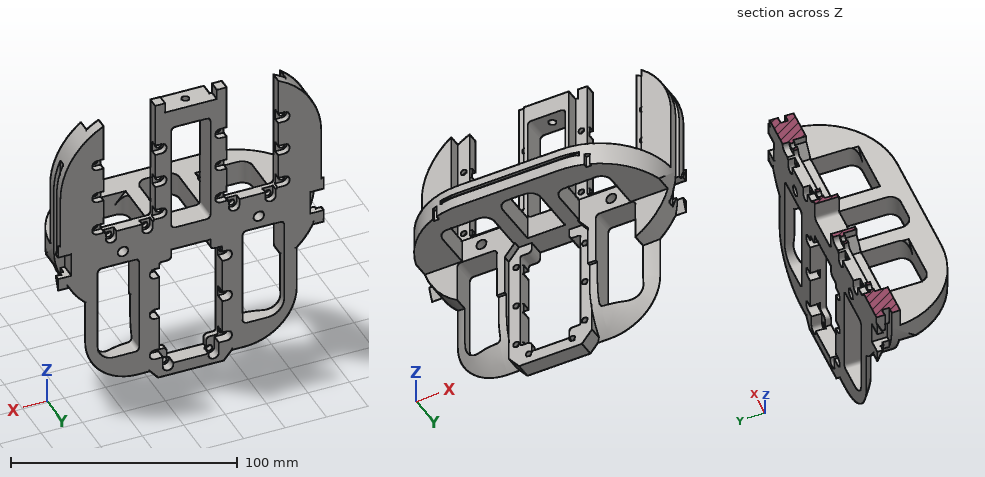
import cadquery as cq
import math


HALF_WIDTH = 63.0
PLATE_DEPTH = 11.5
SHELF_REACH = 45.97
SHELF_THICK = 11.65
CORNER_R = 37.2
PLATE_TOP = 69.0
PLATE_BOTTOM = -38.1
OVERALL_HEIGHT = 148.49
UPPER_ARC_Z = 31.8

U_CENTRE = 29.7
U_OPEN_HALF = 12.45
U_OPEN_BOTTOM = 6.3
U_PAD_HALF = 18.35
U_PAD_DEPTH = 5.4
PAD_CHAMFER_X = 5.1
PAD_CHAMFER_Z = 6.2
SMALL_R = 2.0

POST_TOP = 64.0
TAB_INNER = 12.5
WINDOW_HALF = 9.45
WINDOW_TOP = 54.7
POST_HOLE_D = 3.5
POST_HOLE_Y = -6.0

SCREW_D = 2.83
BORE_WIDTH = 5.0
BORE_LENGTH = 6.5
U_BORE_DEPTH = 3.2
FRAME_BORE_DEPTH = 4.9
U_SIDE_HOLE = 15.45
U_SIDE_HOLE_Z = 9.7
U_SIDE_PITCH = 17.5
U_BASE_HOLE = 8.75
U_BASE_HOLE_Z = 3.2

FRAME_HALF = 21.0
FRAME_DEPTH = 7.8
FRAME_BOTTOM = PLATE_TOP - OVERALL_HEIGHT
FRAME_OPEN_HALF = 15.2
FRAME_NECK_HALF = WINDOW_HALF
FRAME_OPEN_TOP = -17.0
FRAME_OPEN_BOTTOM = -68.1
FRAME_NECK_BOTTOM = -73.5
FRAME_HOLE = 17.35
FRAME_HOLE_Z = -22.5
FRAME_PITCH = 22.0
FRAME_BASE_HOLE = 11.0
FRAME_BASE_HOLE_Z = -74.4

LOOP_DEPTH = 10.0
LOOP_BOTTOM = -74.9
LOOP_OPEN_INNER = 25.0
LOOP_OPEN_OUTER = 45.0
LOOP_OPEN_TOP = -12.0
LOOP_OPEN_BOTTOM = -62.1
LOOP_OPEN_R = 8.0

SIDE_SLOT_X = 29.55
SIDE_SLOT_HALF = 13.0
SIDE_SLOT_END = -33.9
SIDE_SLOT_R = 5.0
RELIEF_INSET = 0.5
MID_SLOT_END = -38.9
MID_SLOT_R = 5.0
BEAM_HOLE_D = 5.0
BEAM_HOLE_X = 32.8

FRONT_GROOVE_HALF = 35.0
FRONT_GROOVE_TOP = -4.1
FRONT_GROOVE_BOTTOM = -5.8
FRONT_GROOVE_DEPTH = 1.5
FRONT_NOTCH_X = 38.45
FRONT_NOTCH_WIDTH = 2.4
FRONT_NOTCH_FLOOR = -42.0
SIDE_GROOVE_FLOOR_X = 59.8
SIDE_GAP_FLOOR_X = 57.7
SIDE_GROOVE_BACK = -4.1
SIDE_GROOVE_FRONT = -7.3
LUG_SPAN = 128.32
LUG_X = LUG_SPAN / 2
LUG_DEPTH = 2.7
LUG_ROOT = 9.0
LUG_HEIGHT = 6.3

TOP_CLEARANCE = 20.0


def box(x0, x1, y0, y1, z0, z1):
    """Box given by its limits along each axis."""
    return cq.Workplane("XY").box(x1 - x0, y1 - y0, z1 - z0, centered=False).translate((x0, y0, z0))


def both_sides(shape):
    """The shape together with its mirror image across X = 0."""
    return shape.union(shape.mirror("YZ"))


def prism_y(points, y0, y1):
    """Polygon of (x, z) points extruded from y0 to y1."""
    return cq.Workplane("XZ", origin=(0, y1, 0)).polyline(points).close().extrude(y1 - y0)


def rod_y(diameter, x, z, y0, y1):
    """Cylinder along Y from y0 to y1."""
    return cq.Workplane("XZ", origin=(x, y1, z)).circle(diameter / 2).extrude(y1 - y0)


def octagon_points(half, bottom, top):
    """Rectangle about X = 0 with all four corners cut off."""
    inner = half - PAD_CHAMFER_X
    low = bottom + PAD_CHAMFER_Z
    high = top - PAD_CHAMFER_Z
    return [(-inner, bottom), (inner, bottom), (half, low), (half, high),
            (inner, top), (-inner, top), (-half, high), (-half, low)]


def rounded_plate_and_shelf():
    """Plate and shelf, trimmed to the rounded outlines seen along Y and along Z."""
    plate = box(-HALF_WIDTH, HALF_WIDTH, -PLATE_DEPTH, 0, PLATE_BOTTOM, PLATE_TOP)
    shelf = box(-HALF_WIDTH, HALF_WIDTH, -SHELF_REACH, 0, -SHELF_THICK, 0)
    upright = box(-HALF_WIDTH, HALF_WIDTH, -SHELF_REACH, 0, PLATE_BOTTOM, UPPER_ARC_Z + CORNER_R)
    upright = upright.edges("|Y").fillet(CORNER_R)
    level = box(-HALF_WIDTH, HALF_WIDTH, -SHELF_REACH, 0, PLATE_BOTTOM, PLATE_TOP)
    level = level.edges("|Z and <Y").fillet(CORNER_R)
    return plate.union(shelf).intersect(upright).intersect(level)


def loops():
    """Shallow rounded shell that carries the two loops beside the lower frame."""
    arc_x = HALF_WIDTH - CORNER_R
    reach = math.sqrt(CORNER_R**2 - (CORNER_R - LOOP_DEPTH) ** 2)
    arc_y = CORNER_R - LOOP_DEPTH
    arc_z = LOOP_BOTTOM + reach
    ball = cq.Workplane("XY").sphere(CORNER_R).translate((arc_x, arc_y, arc_z))
    side = cq.Workplane("XY").circle(CORNER_R).extrude(-arc_z).translate((arc_x, arc_y, arc_z))
    base = cq.Workplane("YZ").circle(CORNER_R).extrude(arc_x).translate((0, arc_y, arc_z))
    middle = box(0, arc_x, -LOOP_DEPTH, 0, arc_z, -SHELF_THICK)
    shell = ball.union(side).union(base).union(middle)
    shell = shell.intersect(box(0, HALF_WIDTH, -LOOP_DEPTH, 0, LOOP_BOTTOM, -SHELF_THICK))
    return both_sides(shell)


def loop_openings():
    opening = box(LOOP_OPEN_INNER, LOOP_OPEN_OUTER, -PLATE_DEPTH, 0, LOOP_OPEN_BOTTOM, LOOP_OPEN_TOP)
    opening = opening.edges("|Y and >X and <Z").fillet(LOOP_OPEN_R)
    opening = opening.edges("|Y and (<X or >Z)").fillet(SMALL_R)
    return both_sides(opening)


def u_frame_cuts():
    """Front recess and open-topped slot of the two U-shaped frames."""
    top = PLATE_TOP + TOP_CLEARANCE
    recess = prism_y(octagon_points(U_PAD_HALF, 0, top), -PLATE_DEPTH, -U_PAD_DEPTH)
    slot = box(-U_OPEN_HALF, U_OPEN_HALF, -PLATE_DEPTH, 0, U_OPEN_BOTTOM, top)
    slot = slot.edges("|Y and <Z").fillet(SMALL_R)
    return both_sides(recess.union(slot).translate((U_CENTRE, 0, 0)))


def post_cuts():
    """Gap between the tabs, window and vertical hole of the middle post."""
    gap = box(-TAB_INNER, TAB_INNER, -PLATE_DEPTH, 0, POST_TOP, PLATE_TOP)
    window = box(-WINDOW_HALF, WINDOW_HALF, -PLATE_DEPTH, 0, 0, WINDOW_TOP)
    window = window.edges("|Y").fillet(SMALL_R)
    hole = cq.Workplane("XY", origin=(0, POST_HOLE_Y, WINDOW_TOP - SMALL_R)).circle(POST_HOLE_D / 2)
    return gap.union(window).union(hole.extrude(POST_TOP - WINDOW_TOP + SMALL_R))


def lower_frame_prism(y0, y1):
    return prism_y(octagon_points(FRAME_HALF, FRAME_BOTTOM, -SHELF_THICK), y0, y1)


def lower_frame_opening():
    wide = box(-FRAME_OPEN_HALF, FRAME_OPEN_HALF, -PLATE_DEPTH, 0, FRAME_OPEN_BOTTOM, FRAME_OPEN_TOP)
    neck = box(-FRAME_NECK_HALF, FRAME_NECK_HALF, -PLATE_DEPTH, 0, FRAME_NECK_BOTTOM, -SHELF_THICK)
    inner_corners = cq.selectors.BoxSelector(
        (-FRAME_OPEN_HALF + SMALL_R, -PLATE_DEPTH, FRAME_OPEN_BOTTOM - SMALL_R),
        (FRAME_OPEN_HALF - SMALL_R, 0, FRAME_OPEN_TOP + SMALL_R))
    wide = wide.edges("|Y").fillet(SMALL_R / 2)
    return wide.union(neck).edges("|Y").edges(inner_corners).fillet(SMALL_R)


def screw_hole(x, z, direction_x, direction_z, bore_depth):
    """Through hole with a round-ended slot in the back that runs from it into the frame opening."""
    half = BORE_WIDTH / 2
    slot = box(0, BORE_LENGTH, -bore_depth, 0, -half, half)
    slot = slot.union(rod_y(BORE_WIDTH, 0, 0, -bore_depth, 0))
    turn = -math.degrees(math.atan2(direction_z, direction_x))
    slot = slot.rotate((0, 0, 0), (0, 1, 0), turn).translate((x, 0, z))
    return slot.union(rod_y(SCREW_D, x, z, -PLATE_DEPTH, 0))


def screw_holes():
    cuts = cq.Workplane("XY")
    for row in range(3):
        u_z = U_SIDE_HOLE_Z + row * U_SIDE_PITCH
        frame_z = FRAME_HOLE_Z - row * FRAME_PITCH
        for side in (-1, 1):
            cuts = cuts.union(screw_hole(U_CENTRE + side * U_SIDE_HOLE, u_z, -side, 0, U_BORE_DEPTH))
        cuts = cuts.union(screw_hole(FRAME_HOLE, frame_z, -1, 0, FRAME_BORE_DEPTH))
    for side in (-1, 1):
        cuts = cuts.union(screw_hole(U_CENTRE + side * U_BASE_HOLE, U_BASE_HOLE_Z, 0, 1, U_BORE_DEPTH))
    cuts = cuts.union(screw_hole(FRAME_BASE_HOLE, FRAME_BASE_HOLE_Z, 0, 1, FRAME_BORE_DEPTH))
    return both_sides(cuts)


def corner_relief(corner_x, inward):
    """Sloping cut that squares a front corner of a side slot at the top, falling towards the slot."""
    foot = corner_x + inward * PAD_CHAMFER_X
    points = [(corner_x, 0), (foot, 0), (foot, -PAD_CHAMFER_Z)]
    return prism_y(points, SIDE_SLOT_END, SIDE_SLOT_END + SIDE_SLOT_R)


def corner_reliefs():
    """Reliefs at three of the four corners; the outer corner at -X stays round."""
    inner_edge = SIDE_SLOT_X - SIDE_SLOT_HALF
    outer_edge = SIDE_SLOT_X + SIDE_SLOT_HALF
    cuts = corner_relief(-inner_edge - RELIEF_INSET, -1)
    cuts = cuts.union(corner_relief(inner_edge, 1))
    return cuts.union(corner_relief(outer_edge - RELIEF_INSET, -1))


def shelf_cuts():
    """Vertical slots in the shelf and the two holes through the beam behind it."""
    side = box(SIDE_SLOT_X - SIDE_SLOT_HALF, SIDE_SLOT_X + SIDE_SLOT_HALF,
               SIDE_SLOT_END, -PLATE_DEPTH, -SHELF_THICK, 0)
    side = side.edges("|Z and <Y").fillet(SIDE_SLOT_R)
    hole = rod_y(BEAM_HOLE_D, BEAM_HOLE_X, -SHELF_THICK / 2, -PLATE_DEPTH, 0)
    middle = box(-WINDOW_HALF, WINDOW_HALF, MID_SLOT_END, -PLATE_DEPTH, -SHELF_THICK, 0)
    middle = middle.edges("|Z and <Y").fillet(MID_SLOT_R)
    return both_sides(side.union(hole)).union(middle).union(corner_reliefs())


def rim_cuts():
    """Grooves and notches in the front and side rims."""
    front = box(-FRONT_GROOVE_HALF, FRONT_GROOVE_HALF, -SHELF_REACH, -SHELF_REACH + FRONT_GROOVE_DEPTH,
                FRONT_GROOVE_BOTTOM, FRONT_GROOVE_TOP)
    half = FRONT_NOTCH_WIDTH / 2
    notch = box(FRONT_NOTCH_X - half, FRONT_NOTCH_X + half, -SHELF_REACH, FRONT_NOTCH_FLOOR,
                -SHELF_THICK, FRONT_GROOVE_BOTTOM)
    groove = box(SIDE_GROOVE_FLOOR_X, LUG_X, SIDE_GROOVE_FRONT, SIDE_GROOVE_BACK,
                 PLATE_BOTTOM, PLATE_TOP)
    gap = box(SIDE_GAP_FLOOR_X, LUG_X, SIDE_GROOVE_FRONT, 0, -SHELF_THICK, 0)
    return both_sides(notch.union(groove).union(gap)).union(front)


def lugs():
    """Wedge-shaped lugs above and below the side gap, thinning away from it."""
    inner_x = HALF_WIDTH - LUG_ROOT
    wedges = cq.Workplane("XY")
    for base, direction in ((0, 1), (-SHELF_THICK, -1)):
        tip = base + direction * LUG_HEIGHT
        corners = [(0, base), (-LUG_DEPTH, base), (0, tip)]
        profile = cq.Workplane("YZ", origin=(inner_x, 0, 0)).polyline(corners).close()
        wedges = wedges.union(profile.extrude(LUG_X - inner_x))
    return both_sides(wedges)


result = rounded_plate_and_shelf().union(loops())
result = result.cut(lower_frame_prism(-PLATE_DEPTH, -FRAME_DEPTH))
result = result.union(lower_frame_prism(-FRAME_DEPTH, 0))
result = result.cut(loop_openings()).cut(lower_frame_opening())
result = result.cut(u_frame_cuts()).cut(post_cuts()).cut(shelf_cuts())
result = result.cut(rim_cuts()).union(lugs()).cut(screw_holes())